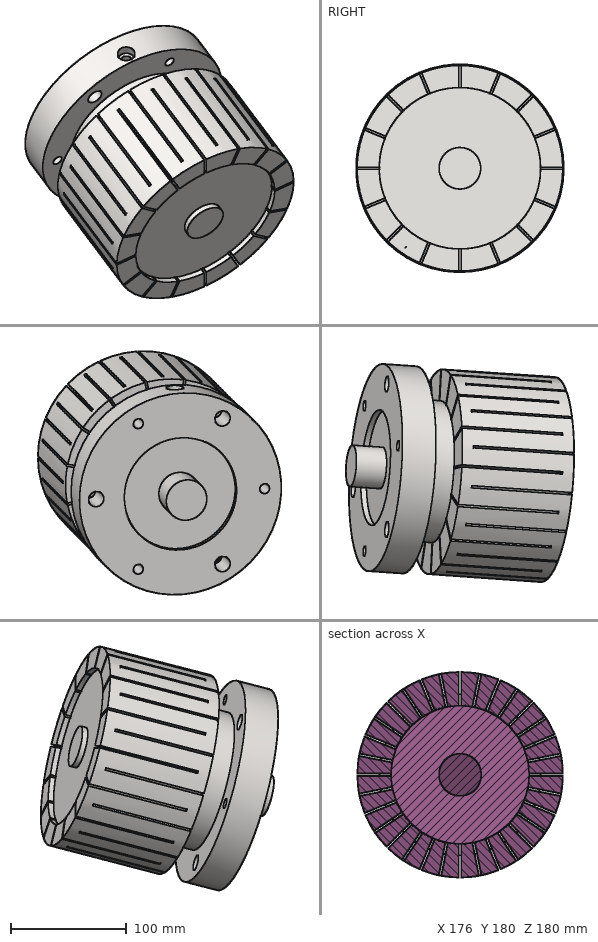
import cadquery as cq

FLANGE_DIAMETER = 180.0
FLANGE_THICKNESS = 30.0
HUB_DIAMETER = 123.1
EXPOSED_HUB_LENGTH = 24.0
SEAT_DIAMETER = 119.9

RECESS_DIAMETER = 100.0
RECESS_DEPTH = 5.0

BOLT_CIRCLE_RADIUS = 75.0
BOLT_HOLE_COUNT = 3
BOLT_HOLE_DIAMETER = 13.5
SMALL_HOLE_DIAMETER = 8.6
BOLT_HOLE_START_ANGLE = 0.0
SMALL_HOLE_START_ANGLE = 60.0

PORT_POSITION = 20.0
PORT_DIAMETER = 9.0
PORT_COUNTERBORE_DIAMETER = 15.0
PORT_COUNTERBORE_DEPTH = 9.0

SLEEVE_DIAMETER = 178.0
SLEEVE_LENGTH = 100.0
SLOTS_PER_END = 16
SLOT_LENGTH = 90.0
SLOT_WIDTH = 2.0

SHAFT_DIAMETER = 36.0
SHAFT_PROTRUSION = 22.0
COLLAR_DIAMETER = 139.7
COLLAR_THICKNESS = 5.4
COLLAR_INSET = 4.9
COLLAR_NECK_DIAMETER = 112.0
COLLAR_NECK_LENGTH = 6.5

SLEEVE_START = FLANGE_THICKNESS + EXPOSED_HUB_LENGTH
SLEEVE_END = SLEEVE_START + SLEEVE_LENGTH
COLLAR_END = SLEEVE_END - COLLAR_INSET
COLLAR_START = COLLAR_END - COLLAR_THICKNESS
HUB_END = COLLAR_START - COLLAR_NECK_LENGTH


def cylinder(diameter, start, end):
    """Solid cylinder on the X axis between two positions."""
    return cq.Workplane("YZ", origin=(start, 0, 0)).circle(diameter / 2).extrude(end - start)


def flange_holes(diameter, start_angle):
    """Equally spaced holes through the flange, on the bolt circle."""
    return (
        cq.Workplane("YZ")
        .polarArray(BOLT_CIRCLE_RADIUS, start_angle, 360, BOLT_HOLE_COUNT)
        .circle(diameter / 2)
        .extrude(FLANGE_THICKNESS)
    )


def radial_port():
    """Counterbored hole from the top of the flange rim down to the shaft."""
    rim = cq.Workplane("XY", origin=(PORT_POSITION, 0, FLANGE_DIAMETER / 2))
    bore = rim.circle(PORT_DIAMETER / 2).extrude(-FLANGE_DIAMETER / 2)
    counterbore = rim.circle(PORT_COUNTERBORE_DIAMETER / 2).extrude(-PORT_COUNTERBORE_DEPTH)
    return bore.union(counterbore)


def make_housing():
    """Flange, hub and sleeve seat, bored for the shaft."""
    flange = cylinder(FLANGE_DIAMETER, 0, FLANGE_THICKNESS)
    hub = cylinder(HUB_DIAMETER, 0, SLEEVE_START)
    seat = cylinder(SEAT_DIAMETER, 0, HUB_END)
    body = flange.union(hub).union(seat)
    body = body.cut(cylinder(RECESS_DIAMETER, 0, RECESS_DEPTH))
    body = body.cut(cylinder(SHAFT_DIAMETER, 0, HUB_END))
    body = body.cut(flange_holes(BOLT_HOLE_DIAMETER, BOLT_HOLE_START_ANGLE))
    body = body.cut(flange_holes(SMALL_HOLE_DIAMETER, SMALL_HOLE_START_ANGLE))
    return body.cut(radial_port())


def sleeve_slot(start, angle):
    """Radial slot through the sleeve wall, turned about X from the +Y direction."""
    depth = SLEEVE_DIAMETER / 2
    slot = cq.Workplane("XY").box(SLOT_LENGTH, depth, SLOT_WIDTH, centered=(False, False, True))
    return slot.translate((start, 0, 0)).rotate((0, 0, 0), (1, 0, 0), angle)


def make_sleeve():
    """Sleeve on the hub seat, slit alternately from its two ends."""
    body = cylinder(SLEEVE_DIAMETER, SLEEVE_START, SLEEVE_END)
    body = body.cut(cylinder(SEAT_DIAMETER, SLEEVE_START, SLEEVE_END))
    body = body.cut(cylinder(COLLAR_DIAMETER, COLLAR_START, SLEEVE_END))
    pitch = 360 / SLOTS_PER_END
    for index in range(SLOTS_PER_END):
        body = body.cut(sleeve_slot(SLEEVE_END - SLOT_LENGTH, index * pitch))
        body = body.cut(sleeve_slot(SLEEVE_START, (index + 0.5) * pitch))
    return body


def make_shaft():
    """Shaft through the whole assembly, with a stepped collar that covers the hub end."""
    rod = cylinder(SHAFT_DIAMETER, -SHAFT_PROTRUSION, SLEEVE_END)
    neck = cylinder(COLLAR_NECK_DIAMETER, HUB_END, COLLAR_START)
    collar = cylinder(COLLAR_DIAMETER, COLLAR_START, COLLAR_END)
    return rod.union(neck).union(collar)


housing = make_housing()
sleeve = make_sleeve()
shaft = make_shaft()

result = cq.Compound.makeCompound([housing.val(), sleeve.val(), shaft.val()])